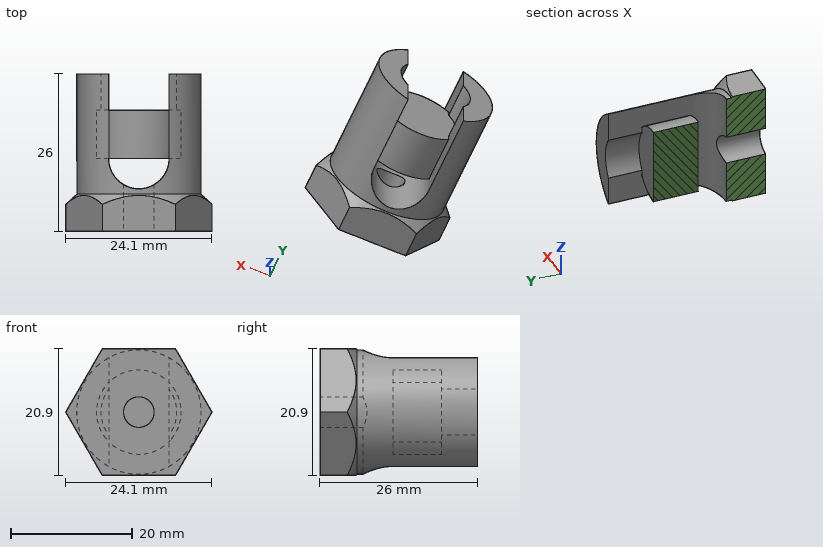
import cadquery as cq
import math

total_length = 26.0
hex_across_flats = 20.9
hex_across_corners = hex_across_flats / math.cos(math.radians(30))
sleeve_diameter = 20.51
head_length = 6.14
corner_length = 4.47
slot_width = 9.93
slot_bottom = 7.05
bore_diameter = 12.48
pilot_diameter = 5.05
plug_diameter = 13.94
plug_length = 8.0

sleeve_radius = sleeve_diameter / 2
slot_radius = slot_width / 2
bore_floor = slot_bottom + slot_radius


def cylinder(diameter, start, length):
    """Cylinder on the part's axis, running toward +Y from y = start."""
    plane = cq.Workplane("XZ", origin=(0, start, 0))
    return plane.circle(diameter / 2).extrude(-length)


def make_head():
    """Hex prism with its sleeve-side corners turned off by a cone."""
    prism = cq.Workplane("XZ").polygon(6, hex_across_corners).extrude(-head_length)
    turned_profile = (
        cq.Workplane("XY")
        .lineTo(hex_across_corners / 2, 0)
        .lineTo(hex_across_corners / 2, corner_length)
        .lineTo(sleeve_radius, head_length)
        .lineTo(0, head_length)
        .close()
    )
    return prism.intersect(turned_profile.revolve(360, (0, 0, 0), (0, 1, 0)))


def make_slot():
    """Round-ended slot through the sleeve along Z, open at the far end."""
    return (
        cq.Workplane("XY", origin=(0, 0, -sleeve_radius))
        .moveTo(-slot_radius, total_length)
        .lineTo(-slot_radius, bore_floor)
        .threePointArc((0, slot_bottom), (slot_radius, bore_floor))
        .lineTo(slot_radius, total_length)
        .close()
        .extrude(sleeve_diameter)
    )


def make_housing():
    """Hex-headed sleeve with a bore, a wider plug seat, a cross slot and a pilot hole through the head."""
    sleeve = cylinder(sleeve_diameter, head_length, total_length - head_length)
    bore = cylinder(bore_diameter, bore_floor, total_length - bore_floor)
    plug_seat = cylinder(plug_diameter, bore_floor, plug_length)
    pilot_hole = cylinder(pilot_diameter, 0, bore_floor)
    return make_head().union(sleeve).cut(bore).cut(plug_seat).cut(make_slot()).cut(pilot_hole)


def make_plug():
    """Cylindrical plug held in the wider inner end of the bore."""
    return cylinder(plug_diameter, bore_floor, plug_length)


housing = make_housing()
plug = make_plug()
result = cq.Compound.makeCompound([housing.val(), plug.val()])